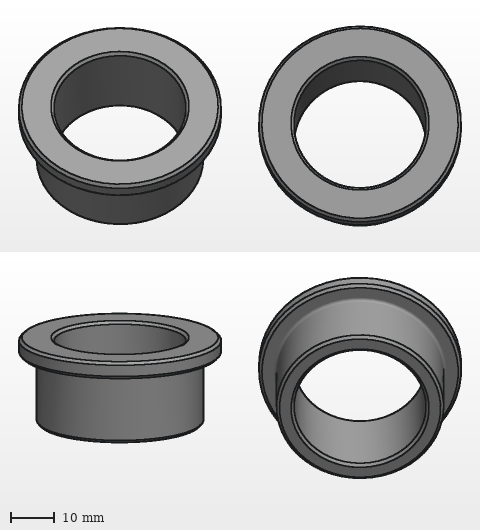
import cadquery as cq

flange_diameter = 46.0
body_diameter = 38.0
bore_diameter = 30.0
total_height = 20.0
flange_thickness = 4.0
edge_chamfer = 0.7
neck_fillet = 0.7

flange_radius = flange_diameter / 2
body_radius = body_diameter / 2
bore_radius = bore_diameter / 2
body_height = total_height - flange_thickness

half_section = (
    cq.Workplane("XZ")
    .moveTo(bore_radius + edge_chamfer, 0)
    .lineTo(body_radius - edge_chamfer, 0)
    .lineTo(body_radius, edge_chamfer)
    .lineTo(body_radius, body_height - neck_fillet)
    .tangentArcPoint((body_radius + neck_fillet, body_height), relative=False)
    .lineTo(flange_radius - edge_chamfer, body_height)
    .lineTo(flange_radius, body_height + edge_chamfer)
    .lineTo(flange_radius, total_height - edge_chamfer)
    .lineTo(flange_radius - edge_chamfer, total_height)
    .lineTo(bore_radius + edge_chamfer, total_height)
    .lineTo(bore_radius, total_height - edge_chamfer)
    .lineTo(bore_radius, edge_chamfer)
    .close()
)

result = half_section.revolve(360, (0, 0, 0), (0, 1, 0))